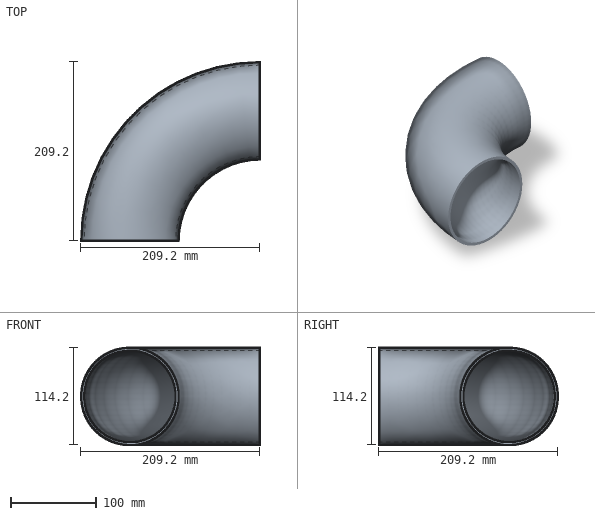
import cadquery as cq

overall_reach = 209.2
outer_diameter = 114.2
wall_thickness = 3.5
bend_angle = 90.0

outer_radius = outer_diameter / 2
inner_radius = outer_radius - wall_thickness
bend_radius = overall_reach - outer_radius


def pipe_elbow():
    """Sweep the pipe wall ring from the -Y facing end to the +X facing end.

    The bend axis is parallel to Z through the origin, so the ends lie in the
    planes Y = 0 and X = 0.
    """
    return (
        cq.Workplane("XZ")
        .center(-bend_radius, 0)
        .circle(outer_radius)
        .circle(inner_radius)
        .revolve(bend_angle, (bend_radius, 0), (bend_radius, -1))
    )


result = pipe_elbow()